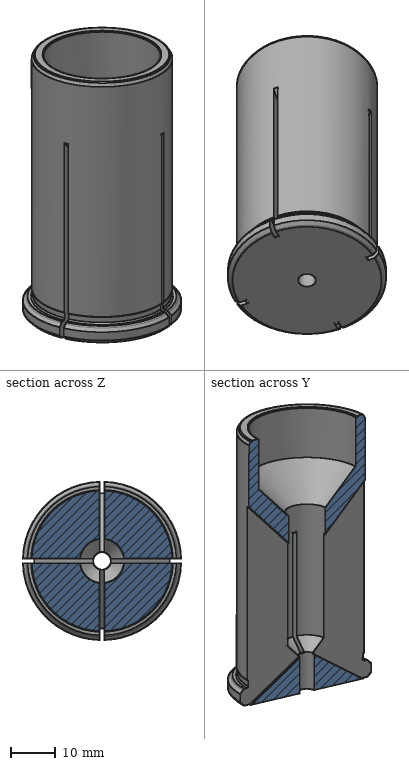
import cadquery as cq

height = 64.0
body_radius = 16.0

flange_radius = 18.0
flange_height = 4.1

corner_height = 1.0
knee_drop = 0.25
rim_knee_width = 0.45
flange_knee_width = 0.8
knee_to_face_width = 0.3

groove_radius = 15.75
groove_bottom = 4.5
groove_top = 5.75

socket_radius = 13.25
socket_floor = 51.85
socket_edge_chamfer = 0.25
bore_radius = 5.0
hole_radius = 2.0
hole_top = 8.95
cone_slope = 1.0

slot_width = 1.0
slot_top = 48.0
slot_roof_slope = 1.0
slot_floor_slope = 0.65
slot_floor_peak = 8.7
slot_reach = flange_radius + 0.65


def revolve_profile(points):
    return cq.Workplane("XZ").polyline(points).close().revolve(360, (0, 0, 0), (0, 1, 0))


def broken_corner(radius, face_z, facing, knee_width):
    """Points from the outer wall to an end face; facing is 1 for an upper face and -1 for a lower one."""
    return [
        (radius, face_z - facing * corner_height),
        (radius - knee_width, face_z - facing * knee_drop),
        (radius - knee_width - knee_to_face_width, face_z),
    ]


def make_outside():
    groove_depth = body_radius - groove_radius
    return revolve_profile([
        (0, 0),
        *reversed(broken_corner(flange_radius, 0, -1, flange_knee_width)),
        *broken_corner(flange_radius, flange_height, 1, flange_knee_width),
        (groove_radius + groove_bottom - flange_height, flange_height),
        (groove_radius, groove_bottom),
        (groove_radius, groove_top),
        (body_radius, groove_top + groove_depth),
        *broken_corner(body_radius, height, 1, rim_knee_width),
        (0, height),
    ])


def make_bore():
    socket_cone_bottom = socket_floor - (socket_radius - bore_radius) * cone_slope
    bore_floor = hole_top + (bore_radius - hole_radius) * cone_slope
    return revolve_profile([
        (0, 0),
        (hole_radius, 0),
        (hole_radius, hole_top),
        (bore_radius, bore_floor),
        (bore_radius, socket_cone_bottom),
        (socket_radius, socket_floor),
        (socket_radius, height - socket_edge_chamfer),
        (socket_radius + socket_edge_chamfer, height),
        (0, height),
    ])


def make_slot(angle):
    """One radial slot whose floor falls and whose roof rises away from the axis."""
    floor_exit = hole_radius + slot_floor_peak / slot_floor_slope
    roof_inner = slot_top - (body_radius - hole_radius) * slot_roof_slope
    slot = (
        cq.Workplane("XZ")
        .polyline([
            (hole_radius, slot_floor_peak),
            (floor_exit, 0),
            (slot_reach, 0),
            (slot_reach, slot_top),
            (body_radius, slot_top),
            (hole_radius, roof_inner),
        ])
        .close()
        .extrude(slot_width / 2, both=True)
    )
    return slot.rotate((0, 0, 0), (0, 0, 1), angle)


result = make_outside().cut(make_bore())
for angle in (0, 90, 180, 270):
    result = result.cut(make_slot(angle))